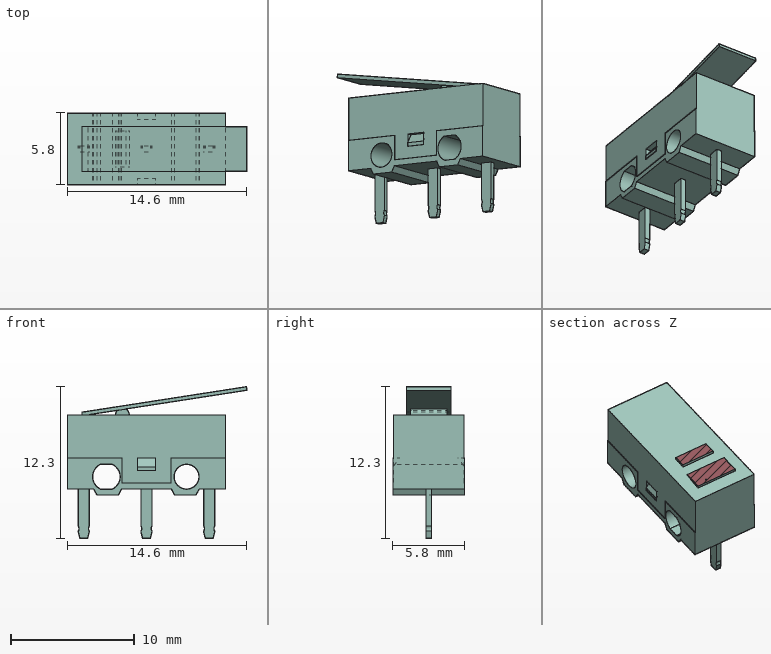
import cadquery as cq
import math


overall_length = 14.55
overall_height = 12.3

body_length = 12.8
body_depth = 5.8
body_height = 6.0
base_height = 2.5
cover_inset = 0.05
tongue_width = 3.99
tongue_bottom = 0.5

hole_diameter = 2.0
hole_height = hole_diameter / 2
hole_offset = 3.25
wide_hole_diameter = 2.21
foot_height = 0.5
foot_offset = 3.15
foot_top_width = 2.27
foot_tip_width = 1.75

latch_width = 1.48
latch_bottom = 1.48
latch_lip = 0.29
latch_slope_angle = 54.5

pin_pitch = 5.08
pin_width = 0.9
pin_thickness = 0.45
pin_length = 4.0
pin_tip_width = 0.64
pin_taper_length = 0.51
notch_top = 3.01
notch_bottom = 3.4
notch_depth = 0.06

plunger_x = -1.95
plunger_radius = 0.57
plunger_depth = 2.94

lever_start_x = -5.22
lever_width = 3.61
lever_thickness = 0.3
lever_angle = math.radians(8.8)


def extrude_across(profile, depth):
    """Extrude an XZ profile by depth, centred on Y = 0."""
    return profile.extrude(depth / 2, both=True)


def box(x, width, depth, bottom, top):
    """Box centred on (x, Y = 0) that spans bottom to top."""
    profile = cq.Workplane("XY", origin=(x, 0, bottom)).rect(width, depth)
    return profile.extrude(top - bottom)


def make_body():
    """Base and narrower cover, with the cover tongues set into the long sides."""
    cover_depth = body_depth - 2 * cover_inset
    base = box(0, body_length, body_depth, 0, base_height)
    tongue_space = box(0, tongue_width, body_depth, tongue_bottom, base_height)
    tongue = box(0, tongue_width, cover_depth, tongue_bottom, base_height)
    cover = box(0, body_length, cover_depth, base_height, body_height)
    return base.cut(tongue_space).union(tongue).union(cover)


def make_foot(x):
    """Tapered foot under the body, as deep as the base."""
    profile = (
        cq.Workplane("XZ")
        .moveTo(x - foot_top_width / 2, 0)
        .lineTo(x + foot_top_width / 2, 0)
        .lineTo(x + foot_tip_width / 2, -foot_height)
        .lineTo(x - foot_tip_width / 2, -foot_height)
        .close()
    )
    return extrude_across(profile, body_depth)


def make_round_hole():
    profile = cq.Workplane("XZ").center(hole_offset, hole_height).circle(hole_diameter / 2)
    return extrude_across(profile, body_depth)


def make_wide_hole():
    """Larger hole flattened above and below to the height of the round hole."""
    profile = cq.Workplane("XZ").center(-hole_offset, hole_height).circle(wide_hole_diameter / 2)
    flats = box(-hole_offset, wide_hole_diameter, body_depth, 0, hole_diameter)
    return extrude_across(profile, body_depth).intersect(flats)


def make_latch():
    """Latch wedge on the -Y side, flush with the base, and the space above its slope."""
    face_y = -body_depth / 2
    slope_start = latch_bottom + latch_lip
    slope_depth = (base_height - slope_start) / math.tan(math.radians(latch_slope_angle))
    plane = cq.Workplane("YZ", origin=(-latch_width / 2, 0, 0))
    space = (
        plane.moveTo(face_y, slope_start)
        .lineTo(face_y + slope_depth, base_height)
        .lineTo(face_y, base_height)
        .close()
        .extrude(latch_width)
    )
    lip = (
        plane.moveTo(face_y, latch_bottom)
        .lineTo(face_y, slope_start)
        .lineTo(face_y + slope_depth, base_height)
        .lineTo(face_y + slope_depth, latch_bottom)
        .close()
        .extrude(latch_width)
    )
    return lip, space


def make_pin(x):
    """Flat terminal with a notched neck and a tapered tip."""
    half = pin_width / 2
    half_tip = pin_tip_width / 2
    notch_middle = (notch_top + notch_bottom) / 2
    taper_start = pin_length - pin_taper_length
    profile = (
        cq.Workplane("XZ")
        .moveTo(x - half, 0)
        .lineTo(x + half, 0)
        .lineTo(x + half, -notch_top)
        .threePointArc((x + half - notch_depth, -notch_middle), (x + half, -notch_bottom))
        .lineTo(x + half, -taper_start)
        .lineTo(x + half_tip, -pin_length)
        .lineTo(x - half_tip, -pin_length)
        .lineTo(x - half, -taper_start)
        .lineTo(x - half, -notch_bottom)
        .threePointArc((x - half + notch_depth, -notch_middle), (x - half, -notch_top))
        .close()
    )
    return extrude_across(profile, pin_thickness)


def make_plunger():
    """Round-topped plunger between the body and the lever."""
    profile = cq.Workplane("XZ").center(plunger_x, body_height).circle(plunger_radius)
    return extrude_across(profile, plunger_depth)


def make_lever():
    """Sloping lever, square at its tip and upright at its fixed end."""
    end_x = overall_length - body_length / 2
    end_z = overall_height - pin_length
    tip_top = (end_x - lever_thickness * math.sin(lever_angle), end_z)
    tip_bottom = (end_x, end_z - lever_thickness * math.cos(lever_angle))
    start_top = tip_top[1] - (tip_top[0] - lever_start_x) * math.tan(lever_angle)
    start_bottom = tip_bottom[1] - (tip_bottom[0] - lever_start_x) * math.tan(lever_angle)
    profile = (
        cq.Workplane("XZ")
        .moveTo(lever_start_x, start_bottom)
        .lineTo(*tip_bottom)
        .lineTo(*tip_top)
        .lineTo(lever_start_x, start_top)
        .close()
    )
    return extrude_across(profile, lever_width)


result = make_body()

for side in (-1, 1):
    result = result.union(make_foot(side * foot_offset))

result = result.cut(make_round_hole()).cut(make_wide_hole())

latch_wedge, latch_space = make_latch()
for turn in (0, 180):
    result = result.union(latch_wedge.rotate((0, 0, 0), (0, 0, 1), turn))
    result = result.cut(latch_space.rotate((0, 0, 0), (0, 0, 1), turn))

for position in (-1, 0, 1):
    result = result.union(make_pin(position * pin_pitch))

result = result.union(make_plunger()).union(make_lever())